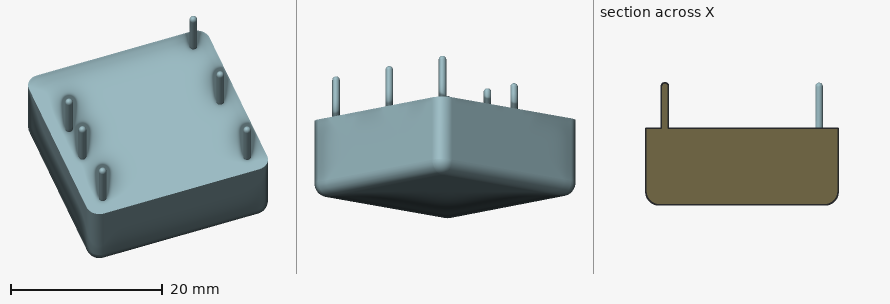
import cadquery as cq

PITCH = 2.54
CASE_SIDE = 10 * PITCH
CASE_HEIGHT = 4 * PITCH
EDGE_RADIUS = 1.8

PIN_DIAMETER = 1.0
PIN_LENGTH = 6.0
TIP_RADIUS = 0.49
PIN_ROOT = 1.0

ROW_OFFSET = 4 * PITCH
BACK_ROW_X = (-4 * PITCH, 0, 4 * PITCH)
FRONT_ROW_X = (-PITCH, PITCH, 4 * PITCH)
PIN_POSITIONS = [(x, ROW_OFFSET) for x in BACK_ROW_X] + [(x, -ROW_OFFSET) for x in FRONT_ROW_X]


def make_case():
    """Case with rounded vertical and bottom edges and a sharp top rim."""
    block = cq.Workplane("XY").box(CASE_SIDE, CASE_SIDE, CASE_HEIGHT, centered=(True, True, False))
    return block.edges("|Z or <Z").fillet(EDGE_RADIUS)


def make_pin(x, y):
    """Round pin standing on the case, with a rounded tip."""
    root = cq.Workplane("XY", origin=(x, y, CASE_HEIGHT - PIN_ROOT))
    pin = root.circle(PIN_DIAMETER / 2).extrude(PIN_ROOT + PIN_LENGTH)
    return pin.edges(">Z").fillet(TIP_RADIUS)


result = make_case()
for pin_x, pin_y in PIN_POSITIONS:
    result = result.union(make_pin(pin_x, pin_y))